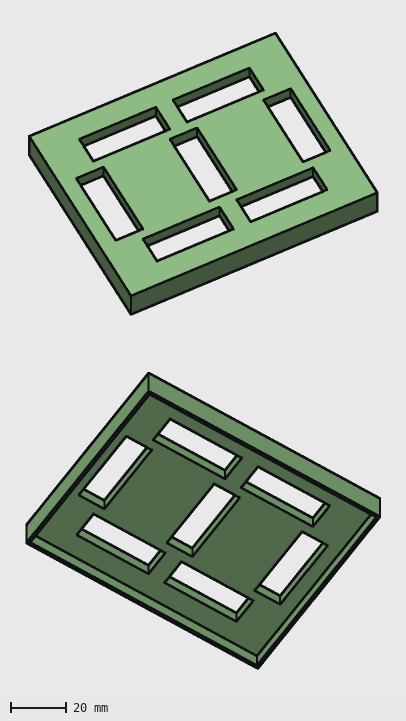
import cadquery as cq

plate_width = 80.0
plate_length = 100.0
plate_thickness = 11.5

face_thickness = 5.5
rim_thickness = 1.0

segment_length = 31.0
segment_width = 11.0
column_offset = 25.0
row_pitch = 38.0

horizontal_centers = [(0, row * row_pitch) for row in (-1, 0, 1)]
upright_centers = [
    (side * column_offset, half * row_pitch / 2)
    for side in (-1, 1)
    for half in (-1, 1)
]


def cut_windows(body, centers, size_x, size_y):
    """Cut rectangular windows through the front face of the body."""
    return body.faces(">Z").workplane().pushPoints(centers).rect(size_x, size_y).cutThruAll()


plate = cq.Workplane("XY").box(plate_width, plate_length, plate_thickness)
cavity = cq.Workplane("XY").box(
    plate_width - 2 * rim_thickness,
    plate_length - 2 * rim_thickness,
    plate_thickness,
).translate((0, 0, -face_thickness))
plate = plate.cut(cavity)
plate = cut_windows(plate, horizontal_centers, segment_length, segment_width)
result = cut_windows(plate, upright_centers, segment_width, segment_length)